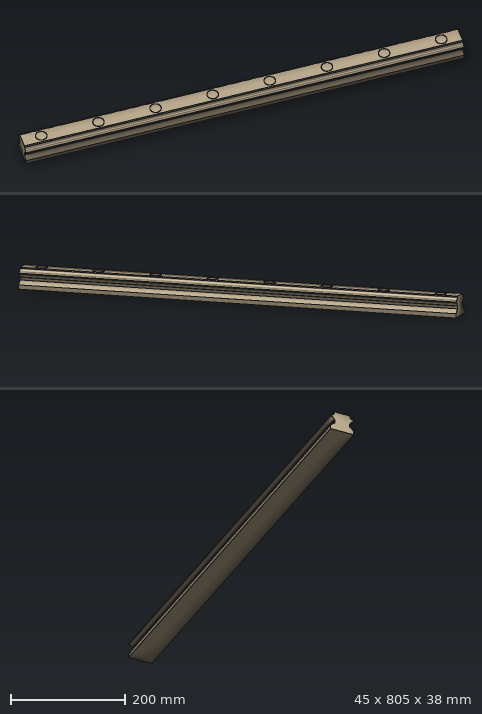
import cadquery as cq

length = 805.0
width = 45.0
height = 38.0
half_width = width / 2

shoulder_chamfer = 2.0
shoulder_half_width = 15.0
land_half_width = shoulder_half_width - shoulder_chamfer
shoulder_height = height - shoulder_chamfer

nose_top = 29.0
nose_bottom = 27.0
nose_bevel_rise = 2.0
nose_bevel_run = 3.0

upper_groove_sag = 1.2
lower_groove_sag = 2.0

waist_half_width = 14.5
waist_top = 20.0
waist_bottom = 15.0
waist_step_run = 2.0
waist_step_rise = 1.0

foot_side_height = 8.0

hole_count = 8
end_margin = 35.5
hole_pitch = (length - 2 * end_margin) / (hole_count - 1)
plug_diameter = 20.0
plug_recess = 0.4


def rail_profile():
    """Closed cross-section in the XZ plane: the +X half, mirrored about the Z axis."""
    lower_groove_start = (waist_half_width + waist_step_run, waist_top + waist_step_rise)
    upper_groove_start = (half_width - nose_bevel_run, nose_top + nose_bevel_rise)
    return (
        cq.Workplane("XZ")
        .lineTo(half_width, 0)
        .lineTo(half_width, foot_side_height)
        .lineTo(waist_half_width, waist_bottom)
        .lineTo(waist_half_width, waist_top)
        .lineTo(*lower_groove_start)
        .sagittaArc((half_width, nose_bottom), lower_groove_sag)
        .lineTo(half_width, nose_top)
        .lineTo(*upper_groove_start)
        .sagittaArc((shoulder_half_width, shoulder_height), upper_groove_sag)
        .lineTo(land_half_width, height)
        .lineTo(0, height)
        .mirrorY()
    )


def plug_recesses():
    """Shallow round recesses, evenly pitched along the middle of the top land."""
    return (
        cq.Workplane("XY", origin=(0, 0, height - plug_recess))
        .rarray(8, hole_pitch, 1, hole_count)
        .circle(plug_diameter / 2)
        .extrude(plug_recess)
    )


rail = rail_profile().extrude(length / 2, both=True)
result = rail.cut(plug_recesses())